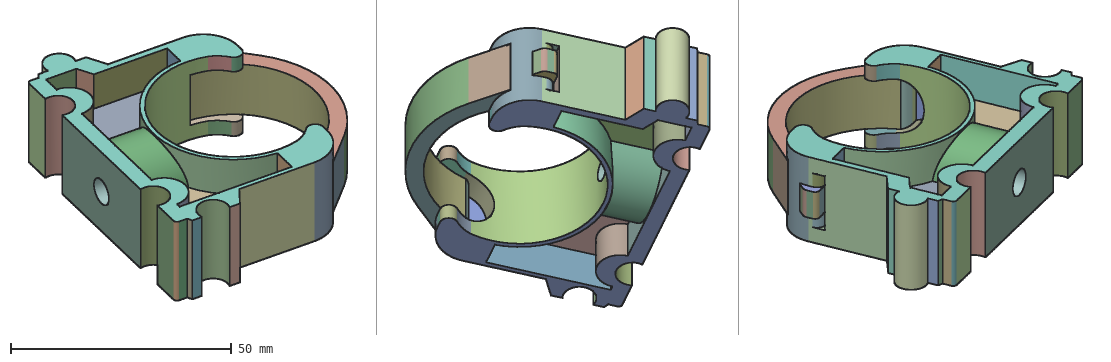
import cadquery as cq
import math

height = 22.0
bore_y = 35.0
bore_radius = 20.0
wall_half_width = 28.6
flange_half_width = 33.5
flange_top_y = 16.4
shoulder_angle = 30.0
foot_half_width = 32.3
foot_step_y = 3.1
foot_step_rise = 0.6
foot_corner_radius = 0.9

jaw_top_y = 48.15
jaw_radius = 9.0
nose_radius = 2.1
nose_x = 17.75
nose_blend_radius = 10.0
nose_blend_start = 15.0

link_radius = 3.85
link_y = 9.95
link_offset = 1.16
base_groove_x = 20.7
groove_collar_radius = 5.5

web_thickness = 2.8
base_thickness = 4.1
pocket_top_y = 33.9
left_wall = 1.75
right_wall = 1.2
foot_left_wall = 2.7
pocket_left_x = -wall_half_width + left_wall
pocket_right_x = wall_half_width - right_wall
pocket_foot_left_x = -flange_half_width + foot_left_wall
pocket_step_y = 14.45
bore_wall = 1.15

boss_radius = 10.7
screw_diameter = 6.5

strap_width = 14.0
strap_outer_radius = 25.96
strap_inner_radius = 21.8
strap_thickness = strap_outer_radius - strap_inner_radius
hinge_round_y = bore_y + 6.4
hinge_end_y = bore_y + 4.4
hinge_end_radius = 3.7
hinge_recess_x = strap_outer_radius
latch_end_y = bore_y + 0.9
latch_gap = 0.9
latch_end_radius = 2.2
tongue_width = 7.0
tongue_reach = 2.05
tongue_top_y = 41.4
tongue_tip_radius = 1.9
tongue_end_radius = 1.1

diagonal = math.sqrt(0.5)
blend_y = bore_y + bore_radius * math.sin(math.radians(nose_blend_start))


def slab(sketch, thickness):
    """Extrude a closed XY outline evenly about the mid plane."""
    return sketch.extrude(thickness).translate((0, 0, -thickness / 2))


def cylinder_z(x, y, radius, thickness=height):
    return slab(cq.Workplane("XY").center(x, y).circle(radius), thickness)


def block(x_min, x_max, y_min, y_max, thickness=height):
    box = cq.Workplane("XY").center((x_min + x_max) / 2, (y_min + y_max) / 2)
    return slab(box.rect(x_max - x_min, y_max - y_min), thickness)


def mirrored(shape):
    return shape.union(shape.mirror("YZ"))


def half_body():
    """Right half of the body with its jaw; solid across the lower part of the bore."""
    shoulder_rise = (flange_half_width - wall_half_width) * math.tan(math.radians(shoulder_angle))
    jaw_x = wall_half_width - jaw_radius
    jaw_y = jaw_top_y - jaw_radius
    nose_y = jaw_top_y - nose_radius
    blend_x = bore_radius * math.cos(math.radians(nose_blend_start))
    nose_end = (nose_x - nose_radius * diagonal, nose_y - nose_radius * diagonal)
    outline = (
        cq.Workplane("XY")
        .lineTo(foot_half_width - foot_corner_radius, 0)
        .radiusArc((foot_half_width, foot_corner_radius), -foot_corner_radius)
        .lineTo(foot_half_width, foot_step_y)
        .lineTo(flange_half_width, foot_step_y + foot_step_rise)
        .lineTo(flange_half_width, flange_top_y)
        .lineTo(wall_half_width, flange_top_y + shoulder_rise)
        .lineTo(wall_half_width, jaw_y)
        .tangentArcPoint((jaw_x, jaw_top_y), relative=False)
        .lineTo(nose_x, jaw_top_y)
        .threePointArc((nose_x - nose_radius, nose_y), nose_end)
        .radiusArc((blend_x, blend_y), nose_blend_radius)
        .lineTo(0, blend_y)
        .close()
    )
    return slab(outline, height)


def bore():
    """Pipe seat, up to where the jaws lean inward."""
    below_blend = block(-bore_radius, bore_radius, 0, blend_y)
    return cylinder_z(0, bore_y, bore_radius).intersect(below_blend)


def pocket_region():
    """Full-height pocket space: inside the walls, clear of the bore wall and groove collars."""
    slope_drop = (pocket_left_x - pocket_foot_left_x) * math.tan(math.radians(shoulder_angle))
    outline = cq.Workplane("XY").polyline([
        (pocket_left_x, pocket_top_y),
        (pocket_left_x, pocket_step_y),
        (pocket_foot_left_x, pocket_step_y - slope_drop),
        (pocket_foot_left_x, base_thickness),
        (pocket_right_x, base_thickness),
        (pocket_right_x, pocket_top_y),
    ]).close()
    region = slab(outline, height)
    region = region.cut(cylinder_z(0, bore_y, bore_radius + bore_wall))
    for side in (-1, 1):
        region = region.cut(cylinder_z(side * base_groove_x, base_thickness, groove_collar_radius))
    return region


def along_y(radius):
    """Cylinder on the screw axis, from the base to the pipe axis."""
    return cq.Workplane("XZ").circle(radius).extrude(-bore_y)


def cut_pockets(body):
    web = block(-flange_half_width, flange_half_width, 0, bore_y, web_thickness)
    return body.cut(pocket_region().cut(web).cut(along_y(boss_radius)))


def link_pin():
    return cylinder_z(-flange_half_width - link_offset, link_y, link_radius)


def link_groove():
    return cylinder_z(flange_half_width - link_offset, link_y, link_radius)


def base_grooves():
    return mirrored(cylinder_z(base_groove_x, link_offset, link_radius))


def strap():
    """Arch over the pipe; its straight ends run at 45 degrees into the jaws."""
    tangent = strap_outer_radius * diagonal
    run_out = wall_half_width - jaw_radius * (1 - diagonal) - tangent
    outline = (
        cq.Workplane("XY")
        .moveTo(-tangent - run_out, bore_y + tangent - run_out)
        .lineTo(-tangent, bore_y + tangent)
        .threePointArc((0, bore_y + strap_outer_radius), (tangent, bore_y + tangent))
        .lineTo(tangent + run_out, bore_y + tangent - run_out)
        .close()
    )
    return slab(outline, strap_width).cut(cylinder_z(0, bore_y, strap_inner_radius))


def under_strap(side, bottom_y):
    """Clearance inside the strap, above the given level, on the left (-1) or right (+1)."""
    x_min, x_max = sorted((0, side * strap_inner_radius))
    half = block(x_min, x_max, bottom_y, bore_y + strap_inner_radius, strap_width)
    return half.intersect(cylinder_z(0, bore_y, strap_inner_radius))


def hinge_recess():
    """Round-ended recess in the right jaw, below the rounded inner end of the strap."""
    round_y = hinge_end_y + hinge_end_radius
    inner_x = math.sqrt(strap_inner_radius**2 - (round_y - bore_y) ** 2)
    bottom_y = hinge_round_y - strap_width / 2
    outline = (
        cq.Workplane("XY")
        .moveTo(0, bottom_y)
        .lineTo(hinge_recess_x, bottom_y)
        .lineTo(hinge_recess_x, hinge_end_y)
        .lineTo(inner_x + hinge_end_radius, hinge_end_y)
        .radiusArc((inner_x, round_y), hinge_end_radius)
        .lineTo(0, round_y)
        .close()
    )
    recess = slab(outline, strap_width).union(under_strap(1, bottom_y))
    round_end = cq.Workplane("YZ").center(hinge_round_y, 0).circle(strap_width / 2).extrude(wall_half_width)
    straight = block(0, wall_half_width, hinge_round_y, bore_y + strap_inner_radius, strap_width)
    return recess.intersect(round_end.union(straight))


def latch_recess():
    """Clearance behind the left jaw and the blind gap below the rounded end of the strap."""
    bottom_y = latch_end_y - latch_gap
    depth_x = -wall_half_width + strap_thickness
    outline = (
        cq.Workplane("XY")
        .moveTo(depth_x, bottom_y)
        .lineTo(-wall_half_width, bottom_y)
        .lineTo(-wall_half_width, latch_end_y + latch_end_radius)
        .radiusArc((-wall_half_width + latch_end_radius, latch_end_y), -latch_end_radius)
        .lineTo(depth_x, latch_end_y)
        .close()
    )
    return slab(outline, strap_width).union(under_strap(-1, latch_end_y))


def latch_tongue():
    """Release tongue on the latch end, with a 45 degree upper face."""
    root_x = -wall_half_width + latch_end_radius
    tip_x = -wall_half_width - tongue_reach
    outline = cq.Workplane("XY").polyline([
        (root_x, latch_end_y),
        (tip_x, latch_end_y),
        (tip_x, tongue_top_y - tongue_reach),
        (-wall_half_width, tongue_top_y),
        (root_x, tongue_top_y),
    ]).close()
    tongue = slab(outline, tongue_width)
    tongue = tongue.edges(cq.NearestToPointSelector((tip_x, latch_end_y, 0))).fillet(tongue_end_radius)
    tip_edge = cq.NearestToPointSelector((tip_x, tongue_top_y - tongue_reach, 0))
    return tongue.edges(tip_edge).fillet(tongue_tip_radius)


body = cut_pockets(mirrored(half_body()).cut(bore()))
body = body.union(link_pin()).cut(link_groove()).cut(base_grooves())
body = body.cut(along_y(screw_diameter / 2))
body = body.cut(hinge_recess()).cut(latch_recess())
result = body.union(strap()).union(latch_tongue())